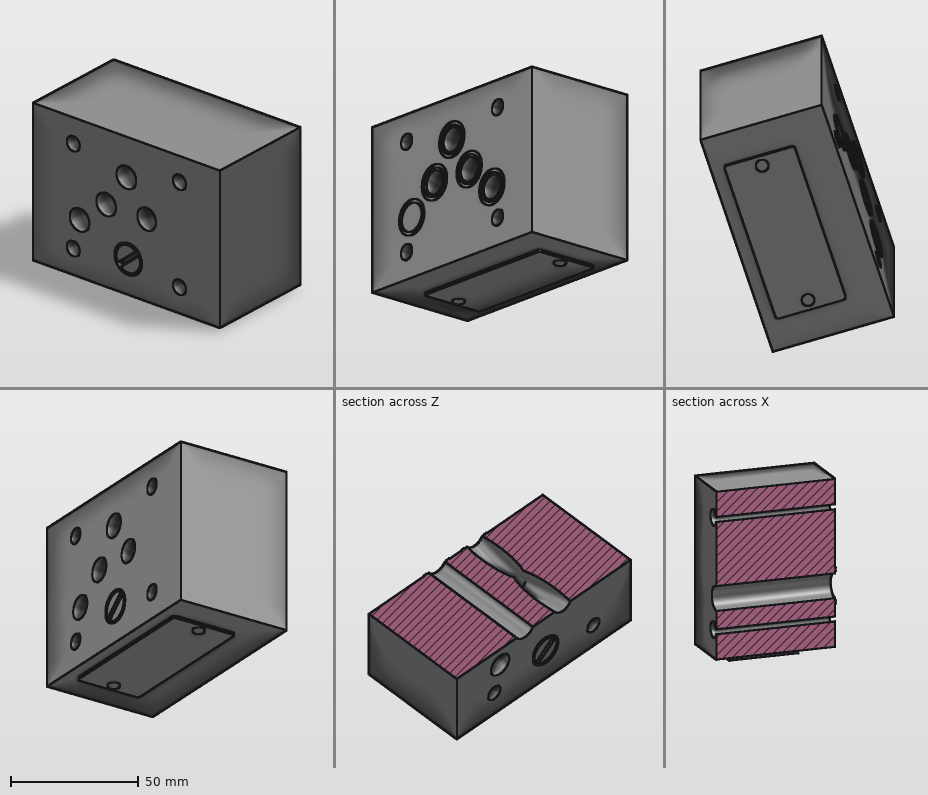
import cadquery as cq
import math


BLOCK_WIDTH = 95.0
BLOCK_DEPTH = 50.0
BLOCK_HEIGHT = 69.0

BOLT_SPACING_X = 54.0
BOLT_SPACING_Z = 46.0
BOLT_HOLE_DIAMETER = 6.6

PORT_DIAMETER = 10.0
P_PORT = (0.0, 16.7)
A_PORT = (-10.3, 1.6)
B_PORT = (10.3, 1.6)
T_PORT = (-23.8, -9.4)
SECOND_T_PORT = (23.8, -9.4)
B_PORT_DIAMETER = 9.5
B_PORT_TILT = 15.0

RING_OUTER_DIAMETER = 14.8
RING_INNER_DIAMETER = 12.0
RING_HEIGHT = 0.28

PLUG_CENTER = (0.95, -18.8)
PLUG_DIAMETER = 11.4
PLUG_DEPTH = 12.0
PLUG_TOP_DIAMETER = 12.0
COUNTERSINK_DIAMETER = 14.0
COUNTERSINK_DEPTH = (COUNTERSINK_DIAMETER - PLUG_DIAMETER) / 2
PLUG_CHAMFER = (COUNTERSINK_DIAMETER - PLUG_TOP_DIAMETER) / 4
SLOT_WIDTH = 2.1
SLOT_DEPTH = 2.5
SLOT_ANGLE = 40.0

PLATE_LENGTH = 68.5
PLATE_WIDTH = 29.0
PLATE_THICKNESS = 1.0
PLATE_CORNER_RADIUS = 1.2
PLATE_CENTER_Y = 20.0
RIVET_SPACING = 60.2
RIVET_DIAMETER = 5.0
RIVET_HEIGHT = 0.8
RIVET_EDGE_RADIUS = 0.7

BLOCK_BOTTOM = -BLOCK_HEIGHT / 2
PLATE_BOTTOM = BLOCK_BOTTOM - PLATE_THICKNESS


def cylinder_into_block(center, diameter, start, length):
    """Round bar along +Y that starts at depth `start` behind the front face."""
    x, z = center
    bar = cq.Solid.makeCylinder(diameter / 2, length, cq.Vector(x, start, z), cq.Vector(0, 1, 0))
    return cq.Workplane(obj=bar)


def turned_about_plug_axis(profile):
    """Solid turned from (radius, depth) points and set on the plug axis."""
    x, z = PLUG_CENTER
    turned = cq.Workplane("XY").polyline(profile).close().revolve(360, (0, 0), (0, 1))
    return turned.translate((x, 0, z))


def make_b_passage():
    """Bent bore: it slopes down from both faces and meets at mid depth."""
    middle = BLOCK_DEPTH / 2
    x, z = B_PORT
    reach = B_PORT_DIAMETER
    slope = math.tan(math.radians(B_PORT_TILT))
    length = (middle + 2 * reach) / math.cos(math.radians(B_PORT_TILT))
    start = cq.Vector(x, -reach, z + reach * slope)
    bore = cq.Solid.makeCylinder(B_PORT_DIAMETER / 2, length, start, cq.Vector(0, 1, -slope))
    front_half_space = cq.Workplane("XY").box(BLOCK_WIDTH, middle, BLOCK_HEIGHT, centered=(True, False, True))
    front_bore = cq.Workplane(obj=bore).intersect(front_half_space)
    back_bore = front_bore.mirror("XZ", (0, middle, 0))
    return front_bore, back_bore


def make_block():
    block = cq.Workplane("XY").box(BLOCK_WIDTH, BLOCK_DEPTH, BLOCK_HEIGHT, centered=(True, False, True))
    for port in (P_PORT, A_PORT, B_PORT, T_PORT, SECOND_T_PORT):
        ring = cylinder_into_block(port, RING_OUTER_DIAMETER, BLOCK_DEPTH, RING_HEIGHT)
        opening = cylinder_into_block(port, RING_INNER_DIAMETER, BLOCK_DEPTH, RING_HEIGHT)
        block = block.union(ring.cut(opening))
    for side_x in (-1, 1):
        for side_z in (-1, 1):
            center = (side_x * BOLT_SPACING_X / 2, side_z * BOLT_SPACING_Z / 2)
            block = block.cut(cylinder_into_block(center, BOLT_HOLE_DIAMETER, 0, BLOCK_DEPTH))
    for port in (P_PORT, A_PORT, T_PORT):
        block = block.cut(cylinder_into_block(port, PORT_DIAMETER, 0, BLOCK_DEPTH))
    for bore in make_b_passage():
        block = block.cut(bore)
    plug_hole = turned_about_plug_axis([
        (0, 0),
        (COUNTERSINK_DIAMETER / 2, 0),
        (PLUG_DIAMETER / 2, COUNTERSINK_DEPTH),
        (PLUG_DIAMETER / 2, PLUG_DEPTH),
        (0, PLUG_DEPTH),
    ])
    return block.cut(plug_hole)


def make_screw_plug():
    """Slotted plug whose shoulder rests on the countersink and whose top edge is chamfered."""
    plug = turned_about_plug_axis([
        (0, 0),
        (PLUG_TOP_DIAMETER / 2, 0),
        (PLUG_TOP_DIAMETER / 2 + PLUG_CHAMFER, PLUG_CHAMFER),
        (PLUG_DIAMETER / 2, COUNTERSINK_DEPTH),
        (PLUG_DIAMETER / 2, PLUG_DEPTH),
        (0, PLUG_DEPTH),
    ])
    x, z = PLUG_CENTER
    slot = cq.Workplane("XY").box(COUNTERSINK_DIAMETER, SLOT_DEPTH, SLOT_WIDTH, centered=(True, False, True))
    slot = slot.rotate((0, 0, 0), (0, 1, 0), -SLOT_ANGLE).translate((x, 0, z))
    return plug.cut(slot)


def make_nameplate():
    plate = cq.Workplane("XY", origin=(0, PLATE_CENTER_Y, PLATE_BOTTOM))
    plate = plate.rect(PLATE_LENGTH, PLATE_WIDTH).extrude(PLATE_THICKNESS)
    return plate.edges("|Z").fillet(PLATE_CORNER_RADIUS)


def make_rivet(x):
    rivet = cq.Workplane("XY", origin=(x, PLATE_CENTER_Y, PLATE_BOTTOM))
    rivet = rivet.circle(RIVET_DIAMETER / 2).extrude(-RIVET_HEIGHT)
    return rivet.faces("<Z").edges().fillet(RIVET_EDGE_RADIUS)


block = make_block()
screw_plug = make_screw_plug()
nameplate = make_nameplate()
rivets = [make_rivet(side * RIVET_SPACING / 2) for side in (-1, 1)]

result = cq.Compound.makeCompound([
    block.val(),
    screw_plug.val(),
    nameplate.val(),
    *[rivet.val() for rivet in rivets],
])